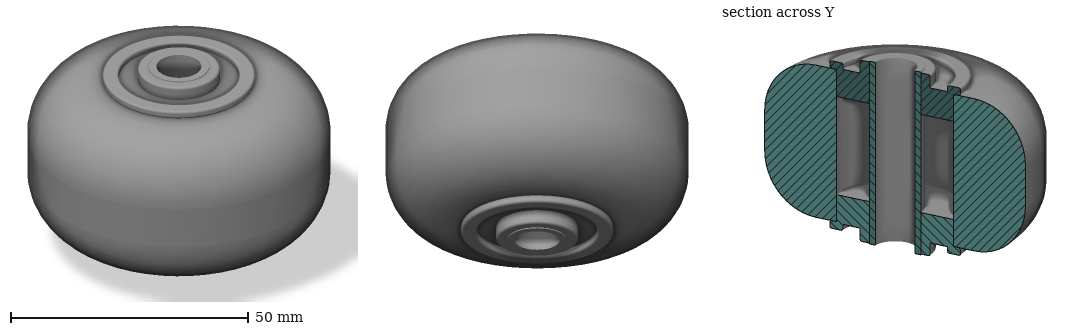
import cadquery as cq

tyre_radius = 32.0
tyre_width = 34.5
tyre_rounding = 12.7

flange_radius = 16.1
flange_thickness = 1.7
bearing_body_radius = 14.3
bearing_body_depth = 6.2
recess_radius = 12.75
recess_depth = 1.4
inner_ring_radius = 8.65
inner_ring_rise = 1.55
edge_rounding = 0.5

sleeve_length = 41.4
sleeve_radius = 6.35
sleeve_bore_radius = 4.75


def centred_cylinder(radius, length):
    """Cylinder along Z with its middle at the origin."""
    return cq.Workplane("XY", origin=(0, 0, -length / 2)).circle(radius).extrude(length)


def make_tyre():
    drum = centred_cylinder(tyre_radius, tyre_width)
    drum = drum.faces("<Z or >Z").edges().fillet(tyre_rounding)
    bore = centred_cylinder(bearing_body_radius, tyre_width)
    return drum.cut(bore)


def make_upper_bearing():
    """Bearing whose flange rests on the upper face of the tyre."""
    seat_height = tyre_width / 2
    flange_top = seat_height + flange_thickness
    recess_floor = flange_top - recess_depth

    flange = cq.Workplane("XY", origin=(0, 0, seat_height)).circle(flange_radius).extrude(flange_thickness)
    flange = flange.edges().fillet(edge_rounding)
    body = (
        cq.Workplane("XY", origin=(0, 0, seat_height - bearing_body_depth))
        .circle(bearing_body_radius)
        .extrude(bearing_body_depth)
    )
    recess = cq.Workplane("XY", origin=(0, 0, recess_floor)).circle(recess_radius).extrude(recess_depth)
    outer_ring = flange.union(body).cut(recess)
    recess_rim = cq.selectors.RadiusNthSelector(0)
    outer_ring = outer_ring.faces(">Z").edges(recess_rim).fillet(edge_rounding)

    inner_ring = (
        cq.Workplane("XY", origin=(0, 0, recess_floor))
        .circle(inner_ring_radius)
        .extrude(recess_depth + inner_ring_rise)
        .faces(">Z")
        .edges()
        .fillet(edge_rounding)
    )
    return outer_ring.union(inner_ring).cut(sleeve_blank())


def sleeve_blank():
    return centred_cylinder(sleeve_radius, sleeve_length)


def make_sleeve():
    bore = centred_cylinder(sleeve_bore_radius, sleeve_length)
    return sleeve_blank().cut(bore)


tyre = make_tyre()
sleeve = make_sleeve()

bearings = []
for turn in (0, 180):
    bearing = make_upper_bearing().rotate((0, 0, 0), (1, 0, 0), turn)
    bearings.append(bearing.val())

result = cq.Compound.makeCompound([tyre.val(), sleeve.val(), *bearings])